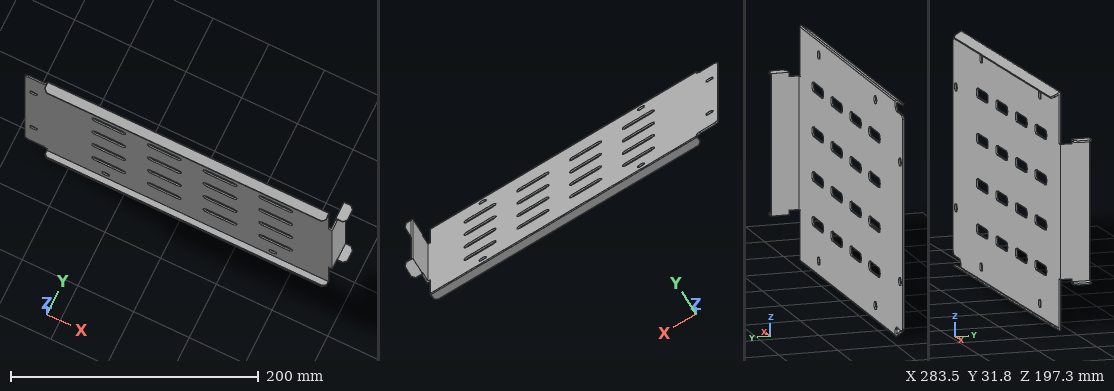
import cadquery as cq
import math

length = 283.5
height = 197.3
sheet = 1.5
corner = 2.8

plate_right = 272.5
tongue_half_height = 90.2
lip_left = 19.8

lip_reach = 6.8
lip_slope = math.radians(30)
lip_root = height / 2 - sheet * math.cos(lip_slope)

flange_right = 275.8
flange_left = flange_right - sheet
flange_depth = 25.0
flange_half_height = 55.8
ear_half_height = 59.5
ear_width = 15.3
ear_span = (flange_depth - ear_width, flange_depth)

hole_diameter = 6.5
screw_left = 72.5
screw_pitch = 150.0
screw_half_pitch_z = 86.0
mount_x = 7.7
mount_half_pitch_z = 50.0
slot_length = 30.0
slot_width = 8.0
slot_left = 75.0
slot_pitch_z = 37.5
slot_count = 4
slot_span = screw_pitch
slot_pitch_x = slot_span / (slot_count - 1)


def mirrored_in_z(body):
    """The body together with its mirror image below the XY plane."""
    return body.union(body.mirror("XY"))


def make_plate():
    """Flat plate up to the roots of the lips."""
    upper = [
        (0, tongue_half_height - corner),
        (corner, tongue_half_height),
        (lip_left - corner, tongue_half_height),
        (lip_left, tongue_half_height + corner),
        (lip_left, lip_root),
        (plate_right, lip_root),
    ]
    lower = [(x, -z) for x, z in reversed(upper)]
    return cq.Workplane("XZ").polyline(upper + lower).close().extrude(-sheet)


def make_lip():
    """Upper lip: a sloping strip folded off the plate, its free corners cut."""
    drop = math.sin(lip_slope)
    run = math.cos(lip_slope)
    strip = (sheet - sheet * drop + lip_reach) / run
    outer_root = (sheet - sheet * drop, height / 2)
    outer_tip = (-lip_reach, height / 2 - strip * drop)
    inner_tip = (outer_tip[0] + sheet * drop, outer_tip[1] - sheet * run)

    lip = (
        cq.Workplane("YZ", origin=(lip_left, 0, 0))
        .polyline([outer_root, outer_tip, inner_tip, (sheet, lip_root)])
        .close()
        .extrude(plate_right - lip_left)
    )
    across_sheet = cq.selectors.ParallelDirSelector(cq.Vector(0, drop, -run))
    return lip.faces("<Y").edges(across_sheet).chamfer(corner)


def make_block(x_range, y_range, z_range):
    """Box spanning the given ranges."""
    starts, ends = zip(x_range, y_range, z_range)
    sizes = [end - start for start, end in zip(starts, ends)]
    return cq.Workplane("XY").box(*sizes, centered=False).translate(starts)


def make_flange():
    """Right end flange: a root on the plate, a neck folded back and a wider web."""
    thickness = (flange_left, flange_right)
    joint = (-flange_half_height, flange_half_height)
    root = make_block((plate_right, flange_right), (0, sheet), joint)
    neck = make_block(thickness, (0, flange_depth), joint)
    web = make_block(thickness, ear_span, (-ear_half_height, ear_half_height))
    return root.union(neck).union(web)


def make_ear():
    """Upper ear: a flat folded outward from the flange, its free corners cut."""
    thickness = (ear_half_height - sheet, ear_half_height)
    ear = make_block((flange_left, length), ear_span, thickness)
    return ear.edges("|Z and >X").chamfer(corner)


def cut_holes(body):
    """Round holes and the slot grid, all straight through the plate."""
    screw_points = [
        (x, z)
        for x in (screw_left, screw_left + screw_pitch)
        for z in (-screw_half_pitch_z, screw_half_pitch_z)
    ]
    mount_points = [(mount_x, z) for z in (-mount_half_pitch_z, mount_half_pitch_z)]
    holes = (
        cq.Workplane("XZ")
        .pushPoints(screw_points + mount_points)
        .circle(hole_diameter / 2)
        .extrude(-sheet)
    )
    slots = (
        cq.Workplane("XZ", origin=(slot_left + slot_span / 2, 0, 0))
        .rarray(slot_pitch_x, slot_pitch_z, slot_count, slot_count)
        .slot2D(slot_length, slot_width)
        .extrude(-sheet)
    )
    return body.cut(holes).cut(slots)


plate = cut_holes(make_plate())
lips = mirrored_in_z(make_lip())
ears = mirrored_in_z(make_ear())
result = plate.union(lips).union(make_flange()).union(ears)